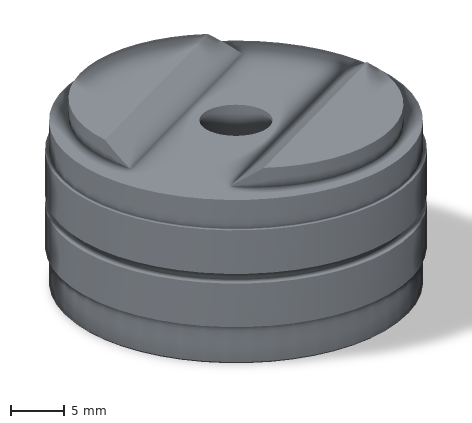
import cadquery as cq

band_diameter = 35.75
end_diameter = 35.0
groove_diameter = 34.0
bottom_chamfer = 0.2

lower_band_start = 4.0
groove_start = 8.5
groove_end = 9.5
upper_band_end = 14.0
body_height = 16.98

hole_diameter = 6.83

total_height = 19.0
channel_floor_width = 10.0
channel_top_width = 16.1
pad_reach = 15.8
pad_radius = 14.1
pad_arc_center = pad_reach - pad_radius


def disc(diameter, start, end):
    """Make a cylinder about Z between two heights."""
    return cq.Workplane("XY").workplane(offset=start).circle(diameter / 2).extrude(end - start)


def make_body():
    """Stack two wide bands between narrower ends, with a groove between the bands."""
    body = disc(end_diameter, 0, body_height).faces("<Z").chamfer(bottom_chamfer)
    body = body.union(disc(band_diameter, lower_band_start, upper_band_end))
    groove = disc(band_diameter, groove_start, groove_end).cut(
        disc(groove_diameter, groove_start, groove_end)
    )
    return body.cut(groove)


def make_right_pad():
    """Keep the part of an off-centre disc that lies beyond the sloping channel wall."""
    pad = disc(2 * pad_radius, body_height, total_height).translate((pad_arc_center, 0, 0))
    wall_profile = (
        cq.Workplane("XZ")
        .moveTo(channel_floor_width / 2, body_height)
        .lineTo(channel_top_width / 2, total_height)
        .lineTo(pad_reach, total_height)
        .lineTo(pad_reach, body_height)
        .close()
        .extrude(pad_radius, both=True)
    )
    return pad.intersect(wall_profile)


right_pad = make_right_pad()
left_pad = right_pad.mirror("YZ")
hole = disc(hole_diameter, 0, total_height)

result = make_body().union(right_pad).union(left_pad).cut(hole)